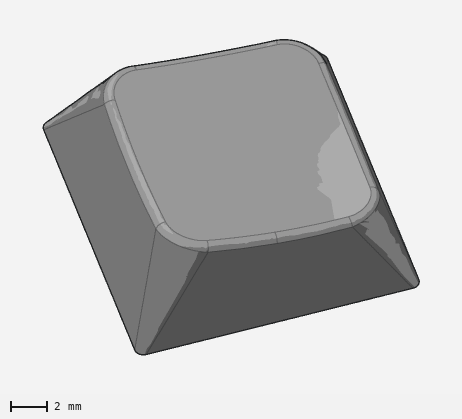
import cadquery as cq
import math

base_width = 17.5
base_depth = 16.5
base_corner_radius = 0.5

top_width = 13.51
top_depth = 12.6
top_corner_radius = 2.48
top_center_y = 0.65
top_center_z = 5.39
tilt = 6.7

dish_radius = 42.88
dish_bottom_y = 0.4
dish_bottom_z = 4.5

rim_fillet = 0.5


def tilted_plane(y, z):
    """Plane facing up at (0, y, z), leaning toward +Y by the tilt angle."""
    angle = math.radians(tilt)
    normal = (0, math.sin(angle), math.cos(angle))
    return cq.Plane(origin=(0, y, z), xDir=(1, 0, 0), normal=normal)


def rounded_outline(plane, width, depth, radius):
    """Rectangular wire with rounded corners, centred on a plane."""
    sketch = cq.Sketch().rect(width, depth).vertices().fillet(radius).reset().faces()
    return sketch.val().moved(cq.Location(plane)).Faces()[0].outerWire()


def make_body():
    """Straight-sided walls from the base outline to the tilted outline."""
    base = rounded_outline(cq.Plane.XY(), base_width, base_depth, base_corner_radius)
    top_plane = tilted_plane(top_center_y, top_center_z)
    top = rounded_outline(top_plane, top_width, top_depth, top_corner_radius)
    return cq.Workplane(cq.Solid.makeLoft([base, top], True))


def make_dish():
    """Ball whose lowest point is the bottom of the dish."""
    plane = tilted_plane(dish_bottom_y, dish_bottom_z)
    return cq.Workplane(plane).workplane(offset=dish_radius).sphere(dish_radius)


dished = make_body().cut(make_dish())
result = dished.faces("%SPHERE").edges().fillet(rim_fillet)